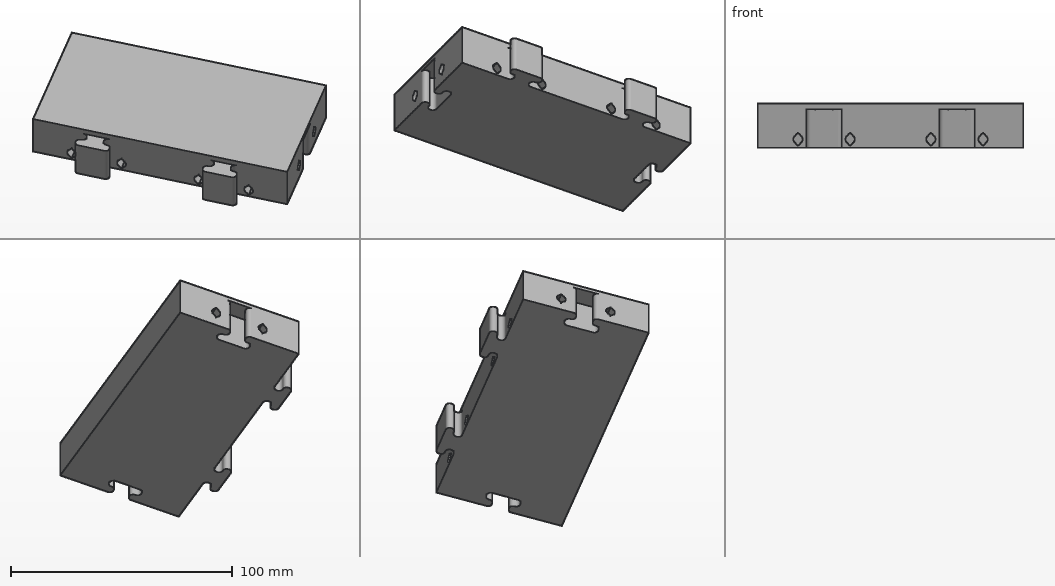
import cadquery as cq
import math

length = 120.0
width = 60.0
height = 20.0

tab_neck_width = 8.0
tab_neck_radius = 1.9
tab_head_width = 16.0
tab_head_radius = 1.8
tab_head_thickness = 4.0
slot_neck_width = 8.0
slot_neck_radius = 1.8
slot_head_width = 16.2
slot_head_radius = 1.9
slot_head_thickness = 4.1
key_depth = 8.0
tab_height = 17.4
slot_height = 17.9
tab_positions = (length / 4, 3 * length / 4)
slot_position = width / 2

bore_radius = 2.1
hole_offset = 11.8
end_hole_level = 7.8
front_hole_level = 3.8
front_hole_depth = 12.0


def key(neck_width, neck_radius, head_width, head_radius, head_thickness, key_height):
    """Key standing on Z = 0, with its mouth on the X axis and its head toward -Y."""
    shoulder_y = head_thickness - key_depth
    neck_x = neck_width / 2
    neck_arc_x = neck_x + neck_radius
    head_x = head_width / 2
    head_arc_x = head_x - head_radius
    right_half = (
        cq.Workplane("XY")
        .lineTo(neck_arc_x, 0)
        .radiusArc((neck_x, -neck_radius), -neck_radius)
        .lineTo(neck_x, shoulder_y + neck_radius)
        .radiusArc((neck_arc_x, shoulder_y), -neck_radius)
        .lineTo(head_arc_x, shoulder_y)
        .radiusArc((head_x, shoulder_y - head_radius), head_radius)
        .lineTo(head_x, head_radius - key_depth)
        .radiusArc((head_arc_x, -key_depth), head_radius)
        .lineTo(0, -key_depth)
        .close()
        .extrude(key_height)
    )
    return right_half.union(right_half.mirror("YZ")).clean()


def peg_hole(depth):
    """Bore from the origin toward +Y, peaked along +Z and -Z."""
    tangent = bore_radius * math.sin(math.radians(45))
    peak = bore_radius / math.sin(math.radians(45))
    return (
        cq.Workplane("XZ")
        .moveTo(tangent, -tangent)
        .threePointArc((bore_radius, 0), (tangent, tangent))
        .lineTo(0, peak)
        .lineTo(-tangent, tangent)
        .threePointArc((-bore_radius, 0), (-tangent, -tangent))
        .lineTo(0, -peak)
        .close()
        .extrude(-depth)
    )


tab = key(
    tab_neck_width, tab_neck_radius, tab_head_width, tab_head_radius, tab_head_thickness, tab_height
)
slot = key(
    slot_neck_width, slot_neck_radius, slot_head_width, slot_head_radius, slot_head_thickness, slot_height
)
front_hole = peg_hole(front_hole_depth)
end_hole = peg_hole(length).rotate((0, 0, 0), (0, 0, 1), -90)

result = cq.Workplane("XY").box(length, width, height, centered=False)

for tab_x in tab_positions:
    result = result.union(tab.translate((tab_x, 0, 0)))
    for side in (-1, 1):
        hole_x = tab_x + side * hole_offset
        result = result.cut(front_hole.translate((hole_x, 0, front_hole_level)))

for end_x, turn in ((0, 90), (length, -90)):
    turned_slot = slot.rotate((0, 0, 0), (0, 0, 1), turn)
    result = result.cut(turned_slot.translate((end_x, slot_position, 0)))

for side in (-1, 1):
    hole_y = slot_position + side * hole_offset
    result = result.cut(end_hole.translate((0, hole_y, end_hole_level)))